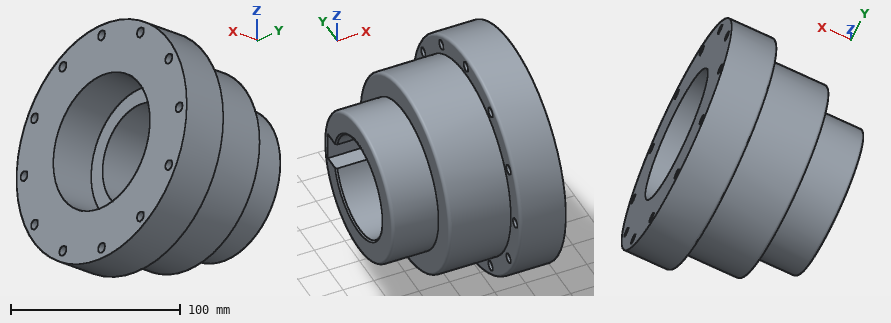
import cadquery as cq

flange_diameter = 150.0
collar_diameter = 125.0
nose_diameter = 95.0
nose_length = 30.0
collar_length = 40.0
flange_length = 30.0
edge_radius = 2.0

bore_diameter = 65.0
bore_chamfer = 1.0
keyway_width = 18.5
keyway_depth_from_axis = 42.0

recess_diameter = 85.0
recess_depth = flange_length

hole_count = 12
hole_diameter = 6.0
hole_circle_diameter = 136.5

total_length = nose_length + collar_length + flange_length
recess_floor = total_length - recess_depth


def step(start, length, diameter):
    """Cylinder along X with its -X outer edge rounded."""
    cylinder = cq.Workplane("YZ").workplane(offset=start).circle(diameter / 2).extrude(length)
    return cylinder.faces("<X").edges().fillet(edge_radius)


def make_body():
    nose = step(0, nose_length, nose_diameter)
    collar = step(nose_length, collar_length, collar_diameter)
    flange = step(nose_length + collar_length, flange_length, flange_diameter)
    return nose.union(collar).union(flange)


def make_bore():
    bore = cq.Workplane("YZ").circle(bore_diameter / 2).extrude(total_length)
    mouth = (
        cq.Workplane("YZ")
        .circle(bore_diameter / 2 + bore_chamfer)
        .workplane(offset=bore_chamfer)
        .circle(bore_diameter / 2)
        .loft(ruled=True)
    )
    return bore.union(mouth)


def make_keyway():
    return (
        cq.Workplane("YZ")
        .center(keyway_depth_from_axis / 2, 0)
        .rect(keyway_depth_from_axis, keyway_width)
        .extrude(recess_floor)
    )


def make_recess():
    return cq.Workplane("YZ").workplane(offset=recess_floor).circle(recess_diameter / 2).extrude(recess_depth)


def make_flange_holes():
    return (
        cq.Workplane("YZ")
        .polarArray(hole_circle_diameter / 2, 0, 360, hole_count)
        .circle(hole_diameter / 2)
        .extrude(total_length)
    )


result = (
    make_body()
    .cut(make_bore())
    .cut(make_keyway())
    .cut(make_recess())
    .cut(make_flange_holes())
)